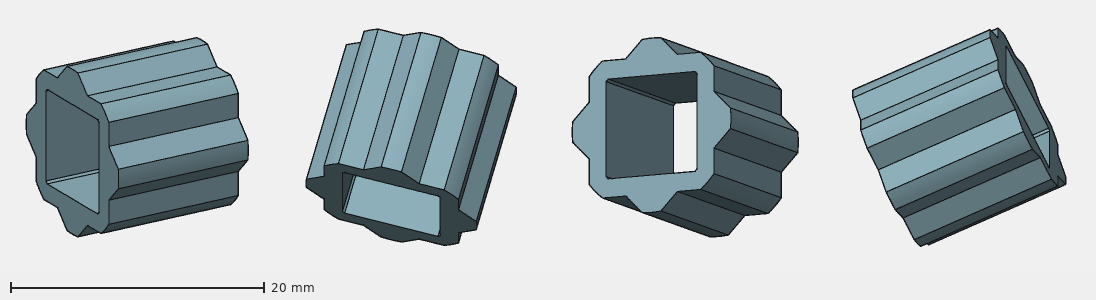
import cadquery as cq

outer_diameter = 13.99
length = 12.0
body_side = 11.0
bore_side = 8.0
bore_corner_diameter = 11.05


def along_y():
    """Workplane whose extrusions run along Y, centred on the origin."""
    return cq.Workplane("XZ")


def trimmed_square(side, diameter):
    """Square prism with its corners cut back to a cylinder."""
    square = along_y().rect(side, side).extrude(length / 2, both=True)
    cylinder = along_y().circle(diameter / 2).extrude(length / 2, both=True)
    return square.intersect(cylinder)


upright = trimmed_square(body_side, outer_diameter)
turned = upright.rotate((0, 0, 0), (0, 1, 0), 45)
body = upright.union(turned)

bore = trimmed_square(bore_side, bore_corner_diameter)
result = body.cut(bore)